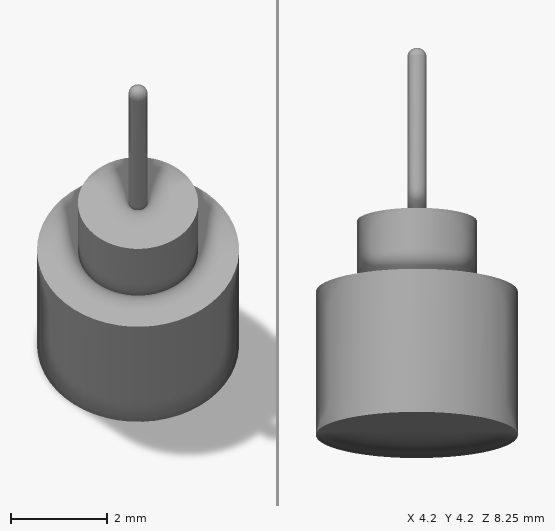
import cadquery as cq

total_height = 8.25
body_diameter = 4.2
body_height = 3.05
collar_diameter = 2.5
collar_height = 1.5
pin_diameter = 0.4
tip_rounding = 0.18

collar_top = body_height + collar_height
pin_length = total_height - collar_top


def cylinder(diameter, height, base_z):
    """Upright cylinder centred on the Z axis."""
    return cq.Workplane("XY").workplane(offset=base_z).circle(diameter / 2).extrude(height)


body = cylinder(body_diameter, body_height, 0)
collar = cylinder(collar_diameter, collar_height, body_height)

pin = cylinder(pin_diameter, pin_length, collar_top).faces(">Z").edges().fillet(tip_rounding)

result = body.union(collar).union(pin)